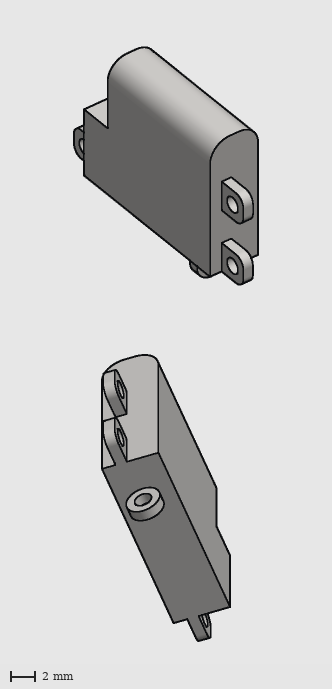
import cadquery as cq

total_length = 23.35
housing_width = 5.0
housing_height = 13.8

step_length = 3.25
step_height = 6.91
top_edge_radius = 2.0

eye_size = 3.0
eye_thickness = 1.0
eye_hole_diameter = 1.5
lug_corner_radius = 1.0
lug_center_y = -0.8
upper_lug_base_z = 6.4
ring_center_x = 16.75

housing_left = eye_size
housing_right = total_length - eye_size


def make_block():
    """Stepped block whose tall part has rounded long top edges."""
    tall_left = housing_left + step_length
    low_part = cq.Workplane("XY").box(
        step_length, housing_width, step_height, centered=(False, True, False)
    ).translate((housing_left, 0, 0))
    tall_part = cq.Workplane("XY").box(
        housing_right - tall_left, housing_width, housing_height, centered=(False, True, False)
    ).translate((tall_left, 0, 0))
    tall_part = tall_part.faces(">Z").edges("|X").fillet(top_edge_radius)
    return low_part.union(tall_part)


def make_lug(left_x, base_z, outer_side):
    """Square lug with a hole and two rounded corners on its outer side ("<X" or ">X")."""
    lug = cq.Workplane("XY").box(eye_size, eye_thickness, eye_size)
    lug = lug.faces(outer_side).edges("|Y").fillet(lug_corner_radius)
    lug = lug.faces("<Y").workplane(origin=(0, 0, 0)).hole(eye_hole_diameter)
    return lug.translate((left_x + eye_size / 2, lug_center_y, base_z + eye_size / 2))


def make_housing():
    """Block with one lug on the left end and two on the right end."""
    housing = make_block()
    lug_places = [
        (0, 0, "<X"),
        (housing_right, 0, ">X"),
        (housing_right, upper_lug_base_z, ">X"),
    ]
    for left_x, base_z, outer_side in lug_places:
        housing = housing.union(make_lug(left_x, base_z, outer_side))
    return housing


def make_ring():
    """Flat ring with its axis along X, just touching the base of the housing."""
    return (
        cq.Workplane("YZ", origin=(ring_center_x - eye_thickness / 2, 0, -eye_size / 2))
        .circle(eye_size / 2)
        .circle(eye_hole_diameter / 2)
        .extrude(eye_thickness)
    )


housing = make_housing()
ring = make_ring()

result = cq.Compound.makeCompound([housing.val(), ring.val()])